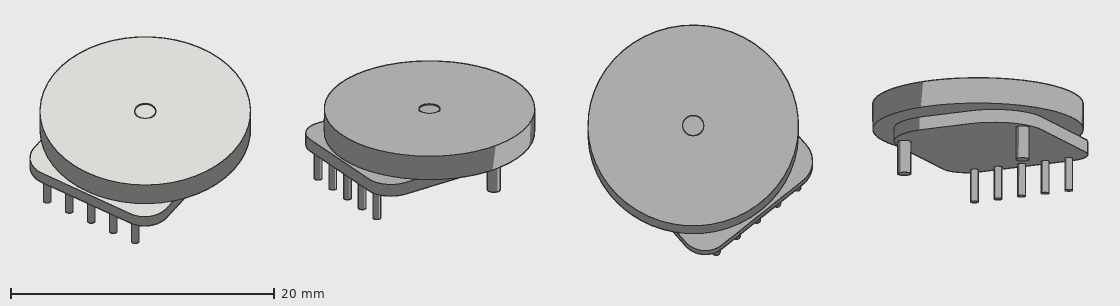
import cadquery as cq

disc_diameter = 16.0
disc_height = 2.0
recess_diameter = 1.6
recess_depth = 0.1

plate_width = 12.0
plate_thickness = 1.0
plate_front = -8.22
plate_back = 5.3
front_corner_radius = 2.0
back_corner_radius = 4.0

pin_length = 2.5
contact_diameter = 0.6
contact_count = 5
contact_pitch = 2.0
contact_y = -7.51
post_diameter = 1.0
post_spacing = 10.0
post_y = 2.51

plate_bottom = pin_length
disc_bottom = plate_bottom + plate_thickness


def make_plate():
    depth = plate_back - plate_front
    return (
        cq.Workplane("XY", origin=(0, (plate_back + plate_front) / 2, plate_bottom))
        .rect(plate_width, depth)
        .extrude(plate_thickness)
        .edges("|Z and <Y")
        .fillet(front_corner_radius)
        .edges("|Z and >Y")
        .fillet(back_corner_radius)
    )


def make_disc():
    return (
        cq.Workplane("XY", origin=(0, 0, disc_bottom))
        .circle(disc_diameter / 2)
        .extrude(disc_height)
        .faces(">Z")
        .workplane()
        .hole(recess_diameter, recess_depth)
    )


def make_pins(diameter, centers):
    return cq.Workplane("XY").pushPoints(centers).circle(diameter / 2).extrude(pin_length)


contact_centers = [
    ((index - (contact_count - 1) / 2) * contact_pitch, contact_y)
    for index in range(contact_count)
]
post_centers = [(side * post_spacing / 2, post_y) for side in (-1, 1)]

result = (
    make_plate()
    .union(make_disc())
    .union(make_pins(contact_diameter, contact_centers))
    .union(make_pins(post_diameter, post_centers))
)